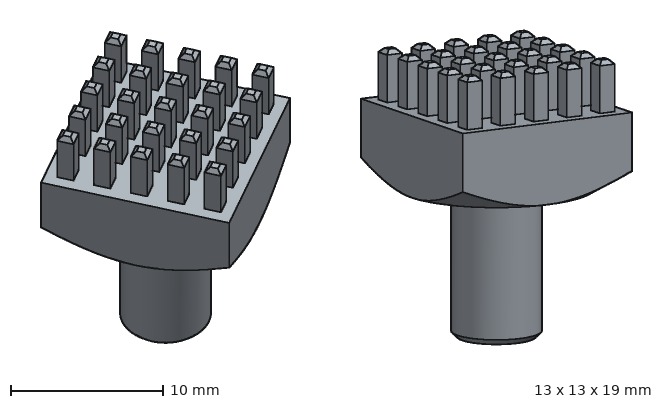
import cadquery as cq
import math

total_height = 19
block_side = 13.0
block_height = 5.5
pin_height = 3.5

shaft_length = total_height - block_height - pin_height
shaft_diameter = 6.0
shaft_chamfer = 0.4

relief_angle = 30

pins_per_side = 5
pin_pitch = 2.55
pin_width = 1.14
pin_chamfer = 0.3


def make_block():
    """Square block, underside at Z = 0, with its lower corners cut by a cone.

    The cone touches each bottom edge at its middle and rises towards the corners.
    """
    inner_radius = block_side / 2
    outer_radius = block_side
    relief_height = (outer_radius - inner_radius) * math.tan(math.radians(relief_angle))
    envelope = (
        cq.Workplane("XZ")
        .lineTo(inner_radius, 0)
        .lineTo(outer_radius, relief_height)
        .lineTo(outer_radius, block_height)
        .lineTo(0, block_height)
        .close()
        .revolve(360, (0, 0, 0), (0, 1, 0))
    )
    square = cq.Workplane("XY").rect(block_side, block_side).extrude(block_height)
    return square.intersect(envelope)


def make_shaft():
    """Round shaft below the block with a chamfered end."""
    shaft = cq.Workplane("XY").circle(shaft_diameter / 2).extrude(-shaft_length)
    return shaft.faces("<Z").chamfer(shaft_chamfer)


def make_pins():
    """Square grid of square pins on top of the block, chamfered around their tips."""
    return (
        cq.Workplane("XY", origin=(0, 0, block_height))
        .rarray(pin_pitch, pin_pitch, pins_per_side, pins_per_side)
        .rect(pin_width, pin_width)
        .extrude(pin_height)
        .faces(">Z")
        .chamfer(pin_chamfer)
    )


result = make_block().union(make_shaft()).union(make_pins())